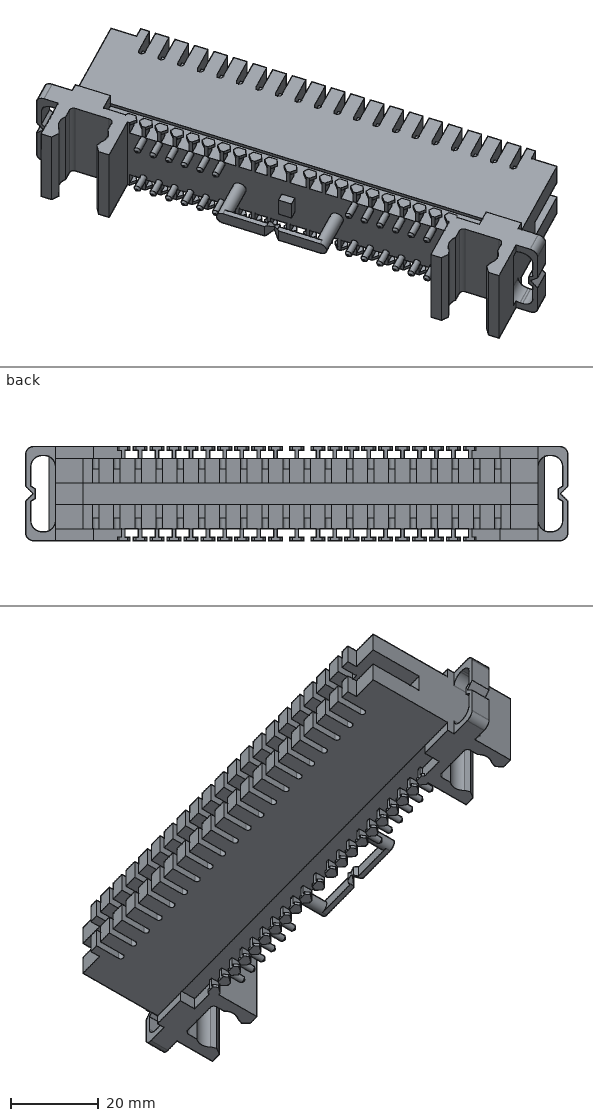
import cadquery as cq


flange_height = 21.5
housing_width = 110.1
housing_height = 16.1
shoulder_y = 28.0
tip_y = 30.4
tip_width = 97.5
insulator_front_y = 0.7
flange_back_y = 6.7
shelf_width = 92.8
shelf_height = 14.3

gap_height = 5.0
gap_floor_y = 21.6
end_notch_floor_y = 14.8
slot_count = 20
slot_pitch = 4.8
slot_width = 1.5
slot_through_y = 26.3
slot_end_y = 23.4
slot_recess_depth = 2.5

posts_per_side = 10
middle_post_gap = 4.8
last_post_x = 39.6
post_pitch = (last_post_x - middle_post_gap) / (posts_per_side - 1)
post_stem_width = 0.9
head_half_width = 1.6
head_widest_y = 2.1
head_back_half_width = 1.0
head_back_y = 3.2
head_thickness = 0.9
pin_radius = 0.8
pin_z = 6.5
pin_end_y = -3.5
pin_chamfer = 0.5
first_pin = 4
pins_per_side = 6

strap_thickness = 1.2
dent_half_width = 1.7
dent_depth = 1.7
bump_half_width = 1.1
bump_depth = 2.2

clip_x = 48.1
clip_half_width = 8.4
clip_end_y = -10.1
clip_bridge_back_y = 2.6
channel_half_width = 5.2
channel_fillet = 1.0
waist_top_y = -3.2
waist_half_width = 5.9
waist_bottom_y = -7.2
lip_half_width = 4.7
lip_y = -8.5
mouth_half_width = 5.8
overall_length = 123.7
ear_back_y = 4.8
ear_corner_radius = 1.9
window_height = 17.3
window_corner_radius = 2.5
undercut_depth = 1.5

staple_leg_x = 12.0
staple_leg_radius = 1.6
staple_end_y = -9.3
key_width = 3.2
key_height = 4.8
key_end_y = -1.2
neck_half_width = 1.4
neck_half_height = 0.5


def block(x0, x1, y0, y1, z0, z1):
    return cq.Workplane("XY").box(x1 - x0, y1 - y0, z1 - z0, centered=False).translate((x0, y0, z0))


def centered_block(width, y0, y1, height):
    return block(-width / 2, width / 2, y0, y1, -height / 2, height / 2)


def both_ends(solid):
    return solid.union(solid.mirror("YZ"))


def above_and_below(solid):
    return solid.union(solid.mirror("XY"))


def rod(x, z, radius, y0, y1):
    return cq.Workplane("XZ", origin=(x, y1, z)).circle(radius).extrude(y1 - y0)


def add_dent(strap, plane, length):
    """Dent a strap along the plane normal; its outer side is local y = 0 and inward is +y."""
    groove_outline = [(-dent_half_width, 0), (0, dent_depth), (dent_half_width, 0)]
    bump_outline = [
        (-dent_half_width, strap_thickness),
        (-bump_half_width, bump_depth),
        (bump_half_width, bump_depth),
        (dent_half_width, strap_thickness),
    ]
    bump = cq.Workplane(plane).polyline(bump_outline).close().extrude(length)
    groove = cq.Workplane(plane).polyline(groove_outline).close().extrude(length)
    return strap.union(bump).cut(groove)


def make_housing():
    body = centered_block(housing_width, flange_back_y, shoulder_y, housing_height)
    body = body.union(centered_block(tip_width, flange_back_y, tip_y, housing_height))
    body = body.union(centered_block(shelf_width, insulator_front_y, flange_back_y, shelf_height))
    body = body.cut(centered_block(housing_width, gap_floor_y, tip_y, gap_height))
    end_notch = block(
        tip_width / 2, housing_width / 2, end_notch_floor_y, tip_y, -gap_height / 2, gap_height / 2
    )
    return body.cut(both_ends(end_notch))


def make_contact_slot(x):
    """Slot through both tongues at the tip that continues as a round-ended groove on each outside."""
    x0 = x - slot_width / 2
    x1 = x + slot_width / 2
    top_z = housing_height / 2
    groove_floor_z = top_z - slot_recess_depth
    end_center_y = slot_end_y + slot_width / 2
    groove = block(x0, x1, end_center_y, tip_y, groove_floor_z, top_z)
    groove_end = (
        cq.Workplane("XY", origin=(x, end_center_y, groove_floor_z))
        .circle(slot_width / 2)
        .extrude(slot_recess_depth)
    )
    through = block(x0, x1, slot_through_y, tip_y, -top_z, top_z)
    return through.union(above_and_below(groove.union(groove_end)))


def make_clip():
    """Two-legged clip whose channel narrows to a lip near its mouth."""
    clip = block(
        clip_x - clip_half_width, clip_x + clip_half_width, clip_end_y, clip_bridge_back_y,
        -flange_height / 2, flange_height / 2,
    )
    waist_mid_y = (waist_top_y + waist_bottom_y) / 2
    channel = (
        cq.Workplane("XY", origin=(clip_x, 0, -flange_height / 2))
        .moveTo(-channel_half_width + channel_fillet, 0)
        .lineTo(channel_half_width - channel_fillet, 0)
        .radiusArc((channel_half_width, -channel_fillet), channel_fillet)
        .lineTo(channel_half_width, waist_top_y)
        .threePointArc((waist_half_width, waist_mid_y), (channel_half_width, waist_bottom_y))
        .lineTo(lip_half_width, lip_y)
        .lineTo(mouth_half_width, clip_end_y)
        .lineTo(-mouth_half_width, clip_end_y)
        .lineTo(-lip_half_width, lip_y)
        .lineTo(-channel_half_width, waist_bottom_y)
        .threePointArc((-waist_half_width, waist_mid_y), (-channel_half_width, waist_top_y))
        .lineTo(-channel_half_width, -channel_fillet)
        .radiusArc((-channel_half_width + channel_fillet, 0), channel_fillet)
        .close()
        .extrude(flange_height)
    )
    return clip.cut(channel)


def make_window(y0, y1):
    inner_x = housing_width / 2
    outer_x = overall_length / 2 - strap_thickness
    window = block(inner_x, outer_x, y0, y1, -window_height / 2, window_height / 2)
    return window.edges("|Y").fillet(window_corner_radius)


def make_latch_loop():
    """Ear at the end of the flange: a thin strap around a window, dented at mid-height."""
    half_height = flange_height / 2
    outer_x = overall_length / 2
    ear = block(housing_width / 2, outer_x, 0, ear_back_y, -half_height, half_height)
    ear = ear.edges("|Y and >X").fillet(ear_corner_radius)
    ear = ear.cut(make_window(0, ear_back_y))
    plane = cq.Plane(origin=(outer_x, ear_back_y, 0), xDir=(0, 0, 1), normal=(0, -1, 0))
    return add_dent(ear, plane, ear_back_y)


def make_flange_end():
    half_height = flange_height / 2
    inner_x = shelf_width / 2
    outer_x = housing_width / 2
    end = block(inner_x, outer_x, 0, flange_back_y, -half_height, half_height)
    end = end.union(make_clip())
    leg_x = clip_x + clip_half_width
    end = end.cut(block(outer_x, leg_x, 0, flange_back_y, -half_height, half_height))

    relief = (
        cq.Workplane("XY", origin=(0, 0, -window_height / 2))
        .polyline([(outer_x, 0), (leg_x, 0), (leg_x, -undercut_depth)])
        .close()
        .extrude(window_height)
        .intersect(make_window(-undercut_depth, ear_back_y))
    )
    return end.union(make_latch_loop()).cut(relief)


def make_contact_post(x):
    """T-shaped post: a thin stem on the shelf under a six-sided head, both flush at the front."""
    stem_half_width = post_stem_width / 2
    head_bottom_z = flange_height / 2 - head_thickness
    stem = block(
        x - stem_half_width, x + stem_half_width,
        insulator_front_y, head_back_y,
        shelf_height / 2, head_bottom_z,
    )
    head_outline = [
        (-stem_half_width, insulator_front_y),
        (stem_half_width, insulator_front_y),
        (head_half_width, head_widest_y),
        (head_back_half_width, head_back_y),
        (-head_back_half_width, head_back_y),
        (-head_half_width, head_widest_y),
    ]
    head = (
        cq.Workplane("XY", origin=(x, 0, head_bottom_z))
        .polyline(head_outline)
        .close()
        .extrude(head_thickness)
    )
    return above_and_below(stem.union(head))


def post_x(index):
    """Place of a post counted from the middle one, which has a wider gap on either side."""
    return middle_post_gap + (index - 1) * post_pitch


def make_solder_pin(x):
    pin = rod(x, pin_z, pin_radius, pin_end_y, insulator_front_y)
    return above_and_below(pin.faces("<Y").chamfer(pin_chamfer))


def make_staple():
    """Flat bar on two round legs, dented in the middle like the latch loops."""
    legs = both_ends(rod(staple_leg_x, 0, staple_leg_radius, staple_end_y, insulator_front_y))
    bar = (
        cq.Workplane("XZ", origin=(0, staple_end_y + strap_thickness, 0))
        .slot2D(2 * (staple_leg_x + staple_leg_radius), 2 * staple_leg_radius)
        .extrude(strap_thickness)
    )
    plane = cq.Plane(
        origin=(0, staple_end_y, -staple_leg_radius), xDir=(1, 0, 0), normal=(0, 0, 1)
    )
    staple = add_dent(legs.union(bar), plane, 2 * staple_leg_radius)

    neck_cut = (
        cq.Workplane("XZ", origin=(0, staple_end_y + bump_depth, 0))
        .polyline([
            (-neck_half_width, staple_leg_radius),
            (0, neck_half_height),
            (neck_half_width, staple_leg_radius),
        ])
        .close()
        .extrude(bump_depth)
    )
    return staple.cut(above_and_below(neck_cut))


slots = cq.Workplane("XY")
for i in range(slot_count):
    slots = slots.union(make_contact_slot((i - (slot_count - 1) / 2) * slot_pitch))

end_parts = make_flange_end()
for i in range(1, posts_per_side + 1):
    end_parts = end_parts.union(make_contact_post(post_x(i)))
for i in range(first_pin, first_pin + pins_per_side):
    end_parts = end_parts.union(make_solder_pin(post_x(i)))

result = make_housing().cut(slots)
result = result.union(both_ends(end_parts))
result = result.union(make_contact_post(0))
result = result.union(make_staple())
result = result.union(centered_block(key_width, key_end_y, insulator_front_y, key_height))